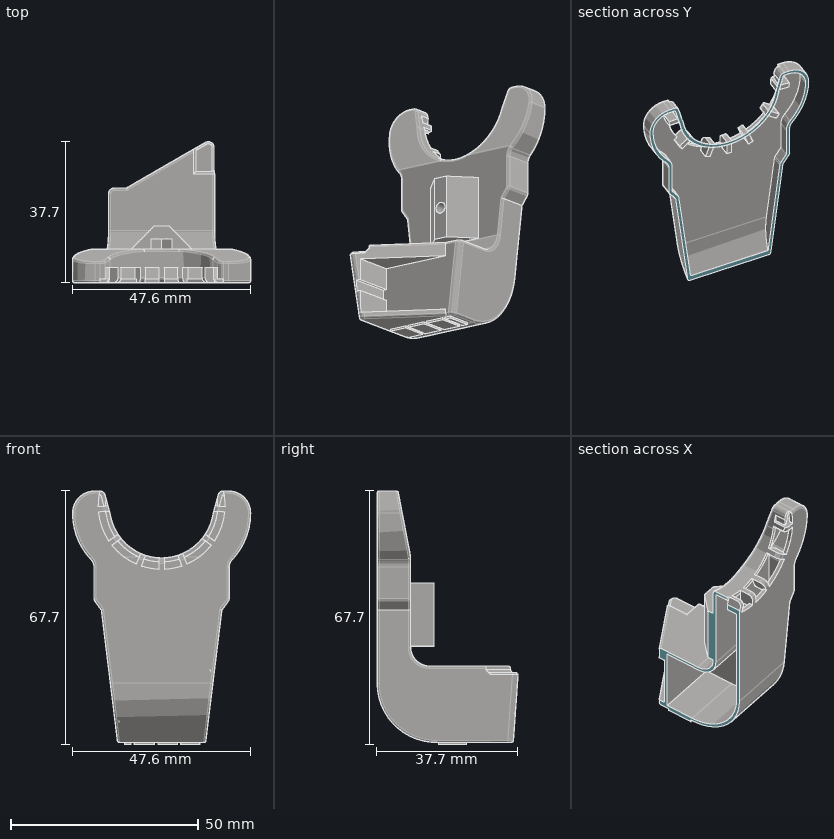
import cadquery as cq
import math

HEIGHT = 67.7
HALF_WIDTH = 23.805
EDGE_FILLET = 0.6
WALL = 1.1

PLATE_THICKNESS = 9.0
TIP_THICKNESS = 5.6
TAPER_START_Z = 50.1
BASE_BOTTOM_Z = 0.55
BASE_TOP_Z = 21.0
HEEL_RADIUS = 15.85
INNER_CORNER_RADIUS = 5.0
PROFILE_DEPTH = 47.4

FORK_CENTER_Z = 63.7
FORK_RADIUS = 13.9
ARM_TIP_RADIUS = 5.95
ARM_SIDE_RADIUS = 17.95
TIP_INNER_X = 15.4
TIP_INNER_FILLET = 1.5
MOUTH_START_Z = 61.6
SHOULDER_HALF_WIDTH = 18.1
SHOULDER_BOTTOM_Z = 38.6
STEM_TOP_HALF_WIDTH = 16.1
STEM_TOP_Z = 35.9
BASE_HALF_WIDTH = 11.8
NECK_FILLET = 3.0
SHOULDER_FILLET = 1.2

SHORT_END_Y = 25.3
SLANT_START_X = -9.4
SLANT_ANGLE = 30.0
END_CORNER_RADIUS = 1.55

RECESS_X = 8.45
RECESS_Y = 29.05
RECESS_FLOOR_Z = 19.3
RECESS_CHAMFER = 0.7

POCKET_SIDE_X = 10.5
POCKET_BOTTOM_Z = 2.25
POCKET_TOP_Z = 17.1
SLOT_WIDTH = 3.0
SLOT_SIDE_X = 11.5
SLOT_CENTER_Z = 9.8

OPENING_RADIUS = 16.9
OPENING_DEPTH = 4.1
RIB_ROOT_RADIUS = 17.95
RIB_WIDTH = 1.4
RIB_ROUND = 1.5
RIB_ANGLES = (-87, -54, -21, 0, 21, 54, 87)

BLOCK_BACK_Y = 15.25
BLOCK_BOTTOM_Z = 26.2
BLOCK_TOP_Z = 43.15
BLOCK_BACK_HALF_WIDTH = 1.95
BLOCK_FRONT_HALF_WIDTH = 8.05
NUT_WIDTH = 5.55
NUT_DEPTH = 2.7
SCREW_DIAMETER = 3.0

PAD_SPANS = ((-9.9, -8.1), (-7.3, -1.95), (-1.0, 4.3), (5.1, 10.2))
PAD_FRONT_Y = 16.4
PAD_BACK_Y = 23.9


def extrude_back(sketch, depth):
    """Extrude an XZ sketch towards +Y."""
    return sketch.extrude(-depth)


def fork_silhouette():
    """Front outline of fork and stem, built as a mirrored right half."""
    tip_center_x = HALF_WIDTH - ARM_TIP_RADIUS
    tip_center_z = HEIGHT - ARM_TIP_RADIUS
    side_center_x = HALF_WIDTH - ARM_SIDE_RADIUS
    neck_rise = math.sqrt(ARM_SIDE_RADIUS**2 - (SHOULDER_HALF_WIDTH - side_center_x) ** 2)
    neck_z = tip_center_z - neck_rise
    half_turn = math.asin(neck_rise / ARM_SIDE_RADIUS) / 2
    side_mid = (
        side_center_x + ARM_SIDE_RADIUS * math.cos(half_turn),
        tip_center_z - ARM_SIDE_RADIUS * math.sin(half_turn),
    )
    diagonal = math.sqrt(0.5)
    tip_mid = (tip_center_x + ARM_TIP_RADIUS * diagonal, tip_center_z + ARM_TIP_RADIUS * diagonal)
    mouth_x = math.sqrt(FORK_RADIUS**2 - (FORK_CENTER_Z - MOUTH_START_Z) ** 2)
    mouth_angle = math.atan2(mouth_x, FORK_CENTER_Z - MOUTH_START_Z) / 2
    mouth_mid = (
        FORK_RADIUS * math.sin(mouth_angle),
        FORK_CENTER_Z - FORK_RADIUS * math.cos(mouth_angle),
    )
    half = (
        cq.Workplane("XZ")
        .moveTo(0, BASE_BOTTOM_Z)
        .lineTo(BASE_HALF_WIDTH, BASE_BOTTOM_Z)
        .lineTo(STEM_TOP_HALF_WIDTH, STEM_TOP_Z)
        .lineTo(SHOULDER_HALF_WIDTH, SHOULDER_BOTTOM_Z)
        .lineTo(SHOULDER_HALF_WIDTH, neck_z)
        .threePointArc(side_mid, (HALF_WIDTH, tip_center_z))
        .threePointArc(tip_mid, (tip_center_x, HEIGHT))
        .lineTo(TIP_INNER_X, HEIGHT)
        .lineTo(mouth_x, MOUTH_START_Z)
        .threePointArc(mouth_mid, (0, FORK_CENTER_Z - FORK_RADIUS))
        .close()
    )
    right = extrude_back(half, PROFILE_DEPTH)
    mid_depth = PROFILE_DEPTH / 2

    def edge_at(x, z):
        return cq.selectors.NearestToPointSelector((x, mid_depth, z))

    right = right.edges(edge_at(SHOULDER_HALF_WIDTH, neck_z)).fillet(NECK_FILLET)
    right = right.edges(edge_at(SHOULDER_HALF_WIDTH, SHOULDER_BOTTOM_Z)).fillet(SHOULDER_FILLET)
    right = right.edges(edge_at(TIP_INNER_X, HEIGHT)).fillet(TIP_INNER_FILLET)
    return right.union(right.mirror("YZ"))


def side_profile(inset=0.0):
    """L-shaped side profile with a rounded heel and a tapered top, shrunk by an inset."""
    bottom_z = BASE_BOTTOM_Z + inset
    top_z = BASE_TOP_Z - inset
    back_y = PLATE_THICKNESS - inset
    heel_radius = HEEL_RADIUS - inset
    corner_radius = INNER_CORNER_RADIUS + inset
    return (
        cq.Workplane("YZ")
        .moveTo(inset, HEIGHT)
        .lineTo(inset, bottom_z + heel_radius)
        .radiusArc((inset + heel_radius, bottom_z), -heel_radius)
        .lineTo(PROFILE_DEPTH, bottom_z)
        .lineTo(PROFILE_DEPTH, top_z)
        .lineTo(back_y + corner_radius, top_z)
        .radiusArc((back_y, top_z + corner_radius), corner_radius)
        .lineTo(back_y, TAPER_START_Z)
        .lineTo(TIP_THICKNESS - inset, HEIGHT)
        .close()
        .extrude(HALF_WIDTH, both=True)
    )


def slant_y(x):
    """Y of the slanted end face at a given X."""
    return SHORT_END_Y + (x - SLANT_START_X) * math.tan(math.radians(SLANT_ANGLE))


def end_outline():
    """Plan outline that trims the base to its slanted end."""
    return (
        cq.Workplane("XY")
        .moveTo(-HALF_WIDTH, 0)
        .lineTo(-HALF_WIDTH, SHORT_END_Y)
        .lineTo(SLANT_START_X, SHORT_END_Y)
        .lineTo(HALF_WIDTH, slant_y(HALF_WIDTH))
        .lineTo(HALF_WIDTH, 0)
        .close()
        .extrude(HEIGHT)
    )


def recess():
    """Corner recess cutter with sloped feet along its two walls."""
    cutter = (
        cq.Workplane("XY", origin=(RECESS_X, RECESS_Y, RECESS_FLOOR_Z))
        .rect(HALF_WIDTH, HALF_WIDTH, centered=False)
        .extrude(BASE_TOP_Z - RECESS_FLOOR_Z + 0.7)
    )
    return cutter.faces("<Z").edges("<X or <Y").chamfer(RECESS_CHAMFER)


def is_outer_edge(edge):
    """True for the rim edges of the body, false for seams and creases on its faces."""
    center = edge.Center()
    direction = edge.tangentAt(0.5)
    is_line = edge.geomType() == "LINE"
    crosses_width = is_line and abs(direction.x) > 0.99 and abs(center.x) < 0.7
    crosses_plate = is_line and abs(direction.y) > 0.99 and center.z > BASE_TOP_Z + 0.7
    on_end_corner = center.y > PLATE_THICKNESS + 0.7 and abs(direction.z) > 0.9
    return not (crosses_width or crosses_plate or on_end_corner)


def end_pocket():
    """Pocket open to the slanted end, with a narrow slot in its side wall."""

    def cavity(side_x, bottom_z, top_z):
        size = (side_x - SLANT_START_X, PROFILE_DEPTH, top_z - bottom_z)
        return cq.Workplane("XY").box(*size, centered=False).translate((SLANT_START_X, SHORT_END_Y, bottom_z))

    pocket = cavity(POCKET_SIDE_X, POCKET_BOTTOM_Z, POCKET_TOP_Z)
    half_slot = SLOT_WIDTH / 2
    slot = cavity(SLOT_SIDE_X, SLOT_CENTER_Z - half_slot, SLOT_CENTER_Z + half_slot)
    return pocket.union(slot)


def fork_disc(radius, depth):
    """Disc concentric with the fork, from the front face to a given depth."""
    return extrude_back(cq.Workplane("XZ", origin=(0, 0, FORK_CENTER_Z)).circle(radius), depth)


def hollow(silhouette):
    """Space inside the even wall, ending short of the slanted end."""
    outline = silhouette.faces("<Y").wires().val()
    inner = cq.Workplane("XZ").add(outline).toPending().offset2D(-WALL)
    return extrude_back(inner, SHORT_END_Y - WALL).intersect(side_profile(WALL))


def fork_ribs():
    """Radial ribs that cross the opening inside the fork."""
    length = RIB_ROOT_RADIUS
    rib = (
        cq.Workplane("XY")
        .box(RIB_WIDTH, OPENING_DEPTH, length, centered=(True, False, False))
        .translate((0, 0, -length))
    )
    ribs = cq.Workplane("XY")
    for angle in RIB_ANGLES:
        ribs = ribs.add(rib.rotate((0, 0, 0), (0, 1, 0), angle))
    return ribs.combine().translate((0, 0, FORK_CENTER_Z))


def rib_rounding():
    """Ring that rounds the front inner end of every rib."""
    return (
        cq.Workplane("XY")
        .moveTo(FORK_RADIUS, 0)
        .lineTo(FORK_RADIUS + RIB_ROUND, 0)
        .radiusArc((FORK_RADIUS, RIB_ROUND), RIB_ROUND)
        .close()
        .revolve(360, (0, 0, 0), (0, 1, 0))
        .translate((0, 0, FORK_CENTER_Z))
    )


def inner_space(silhouette):
    """Hollow and its opening into the fork, less the ribs."""
    opening = fork_disc(OPENING_RADIUS, WALL).union(fork_disc(FORK_RADIUS + WALL, OPENING_DEPTH))
    return hollow(silhouette).union(opening).cut(fork_ribs()).union(rib_rounding())


def nut_block():
    """Tapered block on the back of the plate with a nut trap and a screw hole."""
    block = (
        cq.Workplane("XY", origin=(0, 0, BLOCK_BOTTOM_Z))
        .polyline(
            [
                (-BLOCK_FRONT_HALF_WIDTH, PLATE_THICKNESS),
                (-BLOCK_BACK_HALF_WIDTH, BLOCK_BACK_Y),
                (BLOCK_BACK_HALF_WIDTH, BLOCK_BACK_Y),
                (BLOCK_FRONT_HALF_WIDTH, PLATE_THICKNESS),
            ]
        )
        .close()
        .extrude(BLOCK_TOP_Z - BLOCK_BOTTOM_Z)
    )
    screw_z = (BLOCK_BOTTOM_Z + BLOCK_TOP_Z) / 2
    on_plate = cq.Workplane("XZ", origin=(0, PLATE_THICKNESS, screw_z))
    nut_corner_circle = NUT_WIDTH / math.cos(math.pi / 6)
    nut = extrude_back(on_plate.transformed(rotate=(0, 0, 30)).polygon(6, nut_corner_circle), NUT_DEPTH)
    slide_height = BLOCK_TOP_Z - screw_z
    slide = extrude_back(on_plate.center(0, slide_height / 2).rect(NUT_WIDTH, slide_height), NUT_DEPTH)
    screw = extrude_back(on_plate.circle(SCREW_DIAMETER / 2), BLOCK_BACK_Y - PLATE_THICKNESS)
    return block.cut(nut).cut(slide).cut(screw)


def bottom_pads():
    """Thin raised pads under the base."""
    pads = cq.Workplane("XY")
    for left_x, right_x in PAD_SPANS:
        pad = cq.Workplane("XY").box(
            right_x - left_x, PAD_BACK_Y - PAD_FRONT_Y, 2 * BASE_BOTTOM_Z, centered=False
        )
        pads = pads.add(pad.translate((left_x, PAD_FRONT_Y, 0)))
    return pads.combine()


silhouette = fork_silhouette()
body = silhouette.intersect(side_profile()).intersect(end_outline())
mid_base_z = (BASE_BOTTOM_Z + BASE_TOP_Z) / 2
short_corner = cq.selectors.NearestToPointSelector((-HALF_WIDTH, SHORT_END_Y, mid_base_z))
long_corner = cq.selectors.NearestToPointSelector((HALF_WIDTH, slant_y(HALF_WIDTH), mid_base_z))
body = body.edges(short_corner).fillet(END_CORNER_RADIUS)
body = body.edges(long_corner).fillet(END_CORNER_RADIUS)
rim = [edge for edge in body.edges().vals() if is_outer_edge(edge)]
body = body.newObject(rim).fillet(EDGE_FILLET)

body = body.cut(recess())
foot_clearance = 1.5 * RECESS_CHAMFER
recess_rim = cq.selectors.BoxSelector(
    (RECESS_X + foot_clearance, RECESS_Y + foot_clearance, RECESS_FLOOR_Z - 0.1),
    (HALF_WIDTH, PROFILE_DEPTH, RECESS_FLOOR_Z + 0.1),
)
body = body.edges(recess_rim).chamfer(EDGE_FILLET)

body = body.cut(end_pocket()).cut(inner_space(silhouette))
result = body.union(nut_block()).union(bottom_pads())